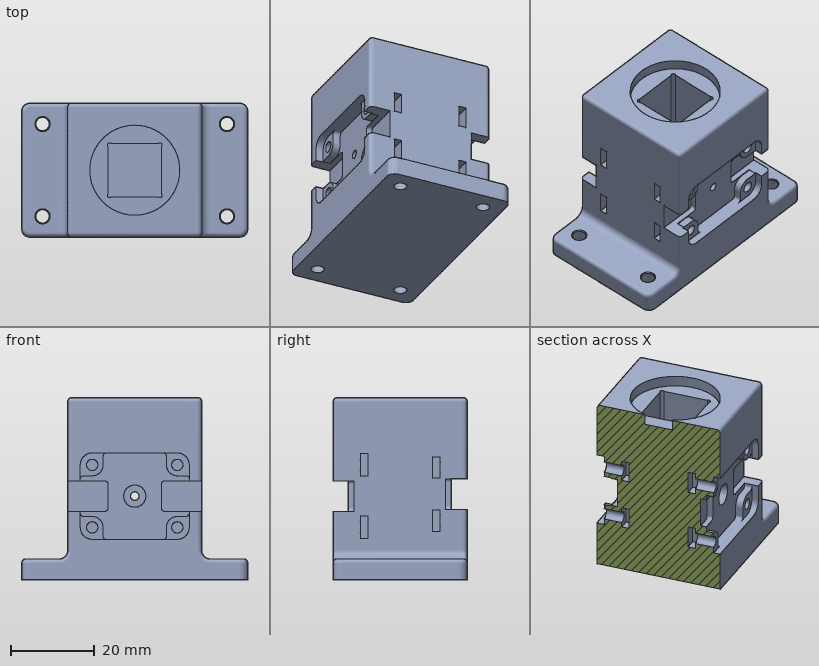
import cadquery as cq

base_length = 54.0
tower_width = 32.0
total_height = 43.5
base_height = 5.0
base_corner_radius = 2.0
root_fillet = 2.0
edge_fillet = 1.0
tower_half = tower_width / 2

mount_hole_diameter = 3.2
mount_hole_chamfer = 0.2
mount_hole_pitch_x = 44.0
mount_hole_pitch_y = 22.05

recess_diameter = 21.5
recess_depth = 2.6
well_side = 12.7
well_floor_z = base_height
relief_diameter = 1.0
relief_inset = 0.3

bore_z = 20.0
front_bore_diameter = 5.3
back_bore_diameter = 2.0

screw_hole_diameter = 2.7
screw_pitch_x = 20.3
screw_margin = 2.85
pad_radius = 2.6
pad_height = 1.9
small_radius = 0.75
notch_height = 7.25
notch_extra_depth = 1.45
notch_inner_x = 6.35
nut_slot_width = 1.85
nut_slot_start = 6.5

front_board_z = 20.0
front_screw_pitch_z = 14.9
front_pocket_depth = 3.55
front_nut_slot_height = 5.35
back_board_z = 20.45
back_screw_pitch_z = 12.75
back_pocket_depth = 3.8
back_nut_slot_height = 5.1


def block(x_range, y_range, z_range):
    """Box between two limits along each axis."""
    size = [high - low for low, high in (x_range, y_range, z_range)]
    corner = (x_range[0], y_range[0], z_range[0])
    return cq.Workplane("XY").box(*size, centered=False).translate(corner)


def y_cylinder(x, z, diameter, y_start, y_end):
    """Cylinder along Y between two Y positions."""
    plane = cq.Workplane("XZ", origin=(x, y_start, z))
    return plane.circle(diameter / 2).extrude(y_start - y_end)


def make_body():
    base = cq.Workplane("XY").box(base_length, tower_width, base_height, centered=(True, True, False))
    base = base.edges("|Z").fillet(base_corner_radius)
    tower = cq.Workplane("XY").box(tower_width, tower_width, total_height, centered=(True, True, False))
    body = base.union(tower)
    roots = cq.selectors.BoxSelector(
        (-tower_half - 0.55, -0.55, base_height - 0.55),
        (tower_half + 0.55, 0.55, base_height + 0.55),
    )
    body = body.edges("|Y").edges(roots).fillet(root_fillet)
    tower_corners = cq.selectors.BoxSelector(
        (-tower_half - 0.55, -tower_half - 0.55, base_height + root_fillet),
        (tower_half + 0.55, tower_half + 0.55, total_height + 0.55),
    )
    rim = body.faces(">Z").edges()
    corners = body.edges("|Z").edges(tower_corners)
    return rim.add(corners).fillet(edge_fillet)


def make_mount_holes():
    hole_radius = mount_hole_diameter / 2
    outer_radius = hole_radius + mount_hole_chamfer
    half_section = [
        (0, 0),
        (hole_radius, 0),
        (hole_radius, base_height - mount_hole_chamfer),
        (outer_radius, base_height),
        (0, base_height),
    ]
    hole = cq.Workplane("XZ").polyline(half_section).close().revolve(360, (0, 0), (0, 1)).val()
    spots = cq.Workplane("XY").rect(mount_hole_pitch_x, mount_hole_pitch_y, forConstruction=True)
    return spots.vertices().eachpoint(lambda spot: hole.moved(spot))


def make_well():
    floor = cq.Workplane("XY", origin=(0, 0, well_floor_z))
    depth = total_height - well_floor_z
    relief_pitch = well_side - 2 * relief_inset
    well = floor.rect(well_side, well_side).extrude(depth)
    reliefs = floor.rect(relief_pitch, relief_pitch, forConstruction=True).vertices()
    well = well.union(reliefs.circle(relief_diameter / 2).extrude(depth))
    recess_floor = cq.Workplane("XY", origin=(0, 0, total_height - recess_depth))
    return well.union(recess_floor.circle(recess_diameter / 2).extrude(recess_depth))


def make_board_cut(board_z, screw_pitch_z, pocket_depth, nut_slot_height):
    """Everything removed for one board, cut into the -Y face of the tower."""
    face_y = -tower_half
    floor_y = face_y + pocket_depth
    pocket_half_x = screw_pitch_x / 2 + screw_margin
    pocket_half_z = screw_pitch_z / 2 + screw_margin
    pad_inner_x = screw_pitch_x / 2 - pad_radius
    pad_inner_z = screw_pitch_z / 2 - pad_radius
    slot_start_y = face_y + nut_slot_start
    slot_end_y = slot_start_y + nut_slot_width

    upper = block((-pocket_half_x, pocket_half_x), (face_y, floor_y - pad_height),
                  (board_z - pocket_half_z, board_z + pocket_half_z))
    lower = block((-pocket_half_x, pocket_half_x), (floor_y - pad_height, floor_y),
                  (board_z - pocket_half_z, board_z + pocket_half_z))
    cut = upper.edges("|Y").fillet(screw_margin)

    for side_x in (-1, 1):
        for side_z in (-1, 1):
            x_range = sorted((side_x * pad_inner_x, side_x * pocket_half_x))
            z_range = sorted((board_z + side_z * pad_inner_z, board_z + side_z * pocket_half_z))
            lower = lower.cut(block(x_range, (floor_y - pad_height, floor_y), z_range))
    pad_corners = cq.selectors.BoxSelector(
        (-pad_inner_x - 0.55, face_y, board_z - pad_inner_z - 0.55),
        (pad_inner_x + 0.55, floor_y, board_z + pad_inner_z + 0.55),
    )
    lower = lower.edges("|Y").edges(pad_corners).fillet(pad_radius)
    lower = lower.edges("|Y and (<X or >X or <Z or >Z)").fillet(small_radius)
    cut = cut.union(lower)

    for side_x in (-1, 1):
        x_range = sorted((side_x * notch_inner_x, side_x * tower_half))
        notch = block(x_range, (face_y, floor_y + notch_extra_depth),
                      (board_z - notch_height / 2, board_z + notch_height / 2))
        inner_edges = "|Y and <X" if side_x > 0 else "|Y and >X"
        cut = cut.union(notch.edges(inner_edges).fillet(small_radius))

        for side_z in (-1, 1):
            screw_x = side_x * screw_pitch_x / 2
            screw_z = board_z + side_z * screw_pitch_z / 2
            cut = cut.union(y_cylinder(screw_x, screw_z, screw_hole_diameter, face_y, slot_end_y))
            slot_inner_x = screw_x - side_x * nut_slot_height / 2
            slot = block(sorted((slot_inner_x, side_x * tower_half)), (slot_start_y, slot_end_y),
                         (screw_z - nut_slot_height / 2, screw_z + nut_slot_height / 2))
            cut = cut.union(slot)
    return cut


front_board = make_board_cut(front_board_z, front_screw_pitch_z, front_pocket_depth, front_nut_slot_height)
back_board = make_board_cut(back_board_z, back_screw_pitch_z, back_pocket_depth, back_nut_slot_height)

result = (
    make_body()
    .cut(make_mount_holes())
    .cut(make_well())
    .cut(front_board)
    .cut(back_board.mirror("XZ"))
    .cut(y_cylinder(0, bore_z, front_bore_diameter, -tower_half, 0))
    .cut(y_cylinder(0, bore_z, back_bore_diameter, 0, tower_half))
)